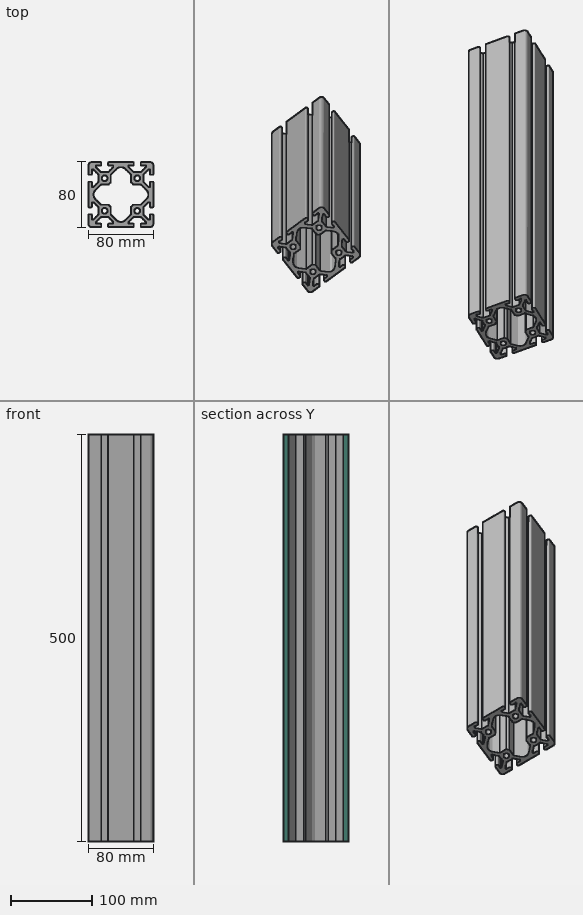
import cadquery as cq
import math

side = 80.0
length = 500.0
corner_radius = 4.25

module = 40.0
slot_opening = 8.2
lip_thickness = 4.5
lip_edge_radius = 1.5
cavity_width = 21.0

core_width = 15.5
bore_diameter = 6.8
web_thickness = 4.5
core_chamfer = 3.0

void_end_radius = 8.0

half_side = side / 2
core_offset = module / 2
core_half = core_width / 2
web_face_offset = web_thickness / math.sqrt(2)


def make_bar():
    bar = cq.Workplane("XY").rect(side, side).extrude(length)
    return bar.edges("|Z").fillet(corner_radius)


def make_slot(center_x):
    """T-slot open towards +Y, with rounded lips, narrowing along the webs down to the core."""
    opening_half = slot_opening / 2
    cavity_half = cavity_width / 2
    floor_half = core_half - web_face_offset
    lip_y = half_side - lip_thickness
    shoulder_y = core_offset + cavity_half + web_face_offset
    floor_y = core_offset + core_half
    flare_half = opening_half + lip_edge_radius
    outer_tangent_y = half_side - lip_edge_radius
    inner_tangent_y = lip_y + lip_edge_radius
    arc_reach = lip_edge_radius / math.sqrt(2)
    arc_x = flare_half - arc_reach
    outer_arc_y = outer_tangent_y + arc_reach
    inner_arc_y = inner_tangent_y - arc_reach
    return (
        cq.Workplane("XY")
        .center(center_x, 0)
        .moveTo(flare_half, half_side)
        .threePointArc((arc_x, outer_arc_y), (opening_half, outer_tangent_y))
        .lineTo(opening_half, inner_tangent_y)
        .threePointArc((arc_x, inner_arc_y), (flare_half, lip_y))
        .lineTo(cavity_half, lip_y)
        .lineTo(cavity_half, shoulder_y)
        .lineTo(floor_half, floor_y)
        .lineTo(-floor_half, floor_y)
        .lineTo(-cavity_half, shoulder_y)
        .lineTo(-cavity_half, lip_y)
        .lineTo(-flare_half, lip_y)
        .threePointArc((-arc_x, inner_arc_y), (-opening_half, inner_tangent_y))
        .lineTo(-opening_half, outer_tangent_y)
        .threePointArc((-arc_x, outer_arc_y), (-flare_half, half_side))
        .close()
        .extrude(length)
    )


def make_void_arm():
    """Arm of the central void, from the profile's centre towards +Y, ending in a rounded point."""
    arm_half = core_offset - core_half
    shoulder_y = 2 * core_offset - arm_half - web_face_offset
    tip_y = 2 * core_offset - web_face_offset
    arc_half = void_end_radius / math.sqrt(2)
    arc_start_y = tip_y - arc_half
    arc_top_y = tip_y - void_end_radius * (math.sqrt(2) - 1)
    chamfer_end = arm_half + core_chamfer
    return (
        cq.Workplane("XY")
        .moveTo(0, 0)
        .lineTo(chamfer_end, arm_half)
        .lineTo(arm_half, chamfer_end)
        .lineTo(arm_half, shoulder_y)
        .lineTo(arc_half, arc_start_y)
        .threePointArc((0, arc_top_y), (-arc_half, arc_start_y))
        .lineTo(-arm_half, shoulder_y)
        .lineTo(-arm_half, chamfer_end)
        .lineTo(-chamfer_end, arm_half)
        .close()
        .extrude(length)
    )


def make_bores():
    return (
        cq.Workplane("XY")
        .rect(module, module, forConstruction=True)
        .vertices()
        .circle(bore_diameter / 2)
        .extrude(length)
    )


result = make_bar().cut(make_bores())
side_cutters = [make_slot(-core_offset), make_slot(core_offset), make_void_arm()]
for angle in (0, 90, 180, 270):
    for cutter in side_cutters:
        result = result.cut(cutter.rotate((0, 0, 0), (0, 0, 1), angle))